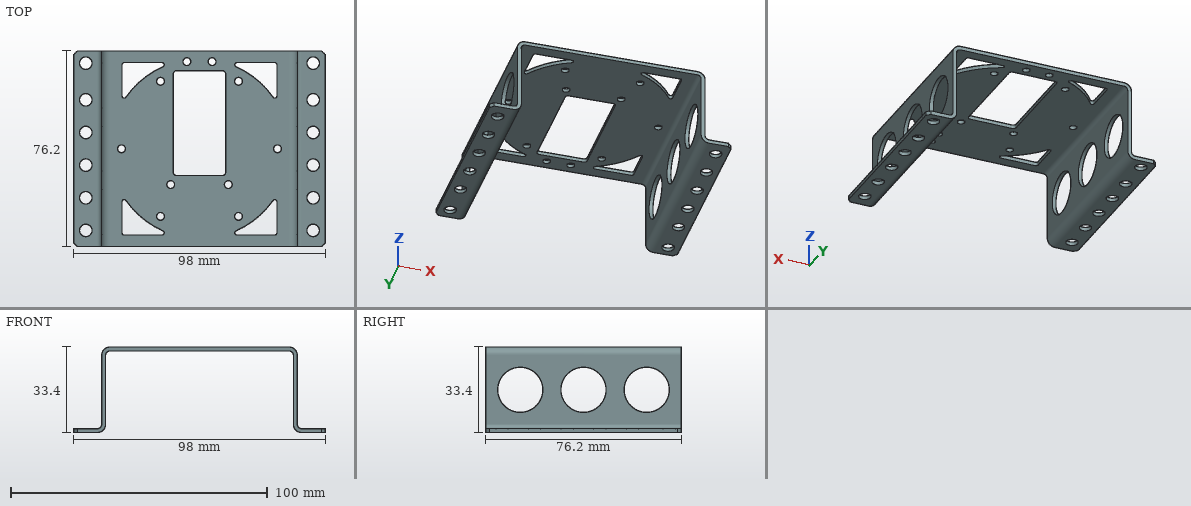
import cadquery as cq
import math

overall_width = 98.01
length = 76.2
height = 33.36
thickness = 1.6
deck_width = 76.2
inside_bend_radius = 1.65
outside_bend_radius = inside_bend_radius + thickness
flange_corner_chamfer = 1.5

flange_hole_diameter = 4.78
flange_hole_edge_distance = 4.77
flange_hole_pitch = 12.7
pitched_hole_count = 5
first_pitched_hole_y = -pitched_hole_count / 2 * flange_hole_pitch

wall_hole_diameter = 17.48
wall_hole_pitch = 24.6
wall_hole_z = height / 2

servo_opening_width = 20.3
servo_opening_length = 40.7
servo_opening_corner_radius = 1.2
servo_center_y = 10.0
servo_screw_offset_y = 23.92
far_screw_spacing = 9.8
near_screw_spacing = 22.4
screw_hole_diameter = 2.95

bolt_circle_radius = 30.35
bolt_count = 6

window_half_width = 30.1
window_half_length = 33.5
window_disc_radius = 35.0
window_corner_radius = 0.8


def bent_sheet():
    """Folded strip: the hat section extruded along Y."""
    half_deck = deck_width / 2
    half_inside = half_deck - thickness
    half_overall = overall_width / 2
    section = [
        (-half_overall, 0),
        (-half_inside, 0),
        (-half_inside, height - thickness),
        (half_inside, height - thickness),
        (half_inside, 0),
        (half_overall, 0),
        (half_overall, thickness),
        (half_deck, thickness),
        (half_deck, height),
        (-half_deck, height),
        (-half_deck, thickness),
        (-half_overall, thickness),
    ]
    sheet = cq.Workplane("XZ").polyline(section).close().extrude(length / 2, both=True)

    def bend_edges(bends):
        """Y-parallel edges nearest to the given (x, z) corners."""
        selected = sheet.newObject([])
        for x, z in bends:
            point = cq.selectors.NearestToPointSelector((x, 0, z))
            selected = selected.add(sheet.edges("|Y").edges(point))
        return selected

    for side in (-1, 1):
        outside = [(side * half_deck, height), (side * half_inside, 0)]
        inside = [(side * half_inside, height - thickness), (side * half_deck, thickness)]
        sheet = bend_edges(outside).fillet(outside_bend_radius)
        sheet = bend_edges(inside).fillet(inside_bend_radius)

    flange_corners = sheet.faces("<X or >X").edges("|Z")
    return flange_corners.chamfer(flange_corner_chamfer)


def vertical_holes(points, diameter):
    """Cutters that run the full height of the bracket."""
    return cq.Workplane("XY").pushPoints(points).circle(diameter / 2).extrude(height)


def flange_holes():
    x = overall_width / 2 - flange_hole_edge_distance
    rows = [first_pitched_hole_y + i * flange_hole_pitch for i in range(pitched_hole_count)]
    rows.append(length / 2 - flange_hole_edge_distance)
    points = [(side * x, y) for side in (-1, 1) for y in rows]
    return vertical_holes(points, flange_hole_diameter)


def wall_holes():
    points = [(i * wall_hole_pitch, wall_hole_z) for i in (-1, 0, 1)]
    holes = cq.Workplane("YZ").pushPoints(points).circle(wall_hole_diameter / 2)
    return holes.extrude(overall_width / 2, both=True)


def servo_opening():
    opening = cq.Workplane("XY").center(0, servo_center_y)
    opening = opening.rect(servo_opening_width, servo_opening_length).extrude(height)
    return opening.edges("|Z").fillet(servo_opening_corner_radius)


def deck_screw_holes():
    points = []
    for side in (-1, 1):
        points.append((side * far_screw_spacing / 2, servo_center_y + servo_screw_offset_y))
        points.append((side * near_screw_spacing / 2, servo_center_y - servo_screw_offset_y))
    for i in range(bolt_count):
        angle = 2 * math.pi * i / bolt_count
        points.append((bolt_circle_radius * math.cos(angle), bolt_circle_radius * math.sin(angle)))
    return vertical_holes(points, screw_hole_diameter)


def corner_windows():
    panel = cq.Workplane("XY").rect(2 * window_half_width, 2 * window_half_length).extrude(height)
    disc = cq.Workplane("XY").circle(window_disc_radius).extrude(height)
    return panel.cut(disc).edges("|Z").fillet(window_corner_radius)


result = (
    bent_sheet()
    .cut(flange_holes())
    .cut(wall_holes())
    .cut(servo_opening())
    .cut(deck_screw_holes())
    .cut(corner_windows())
)